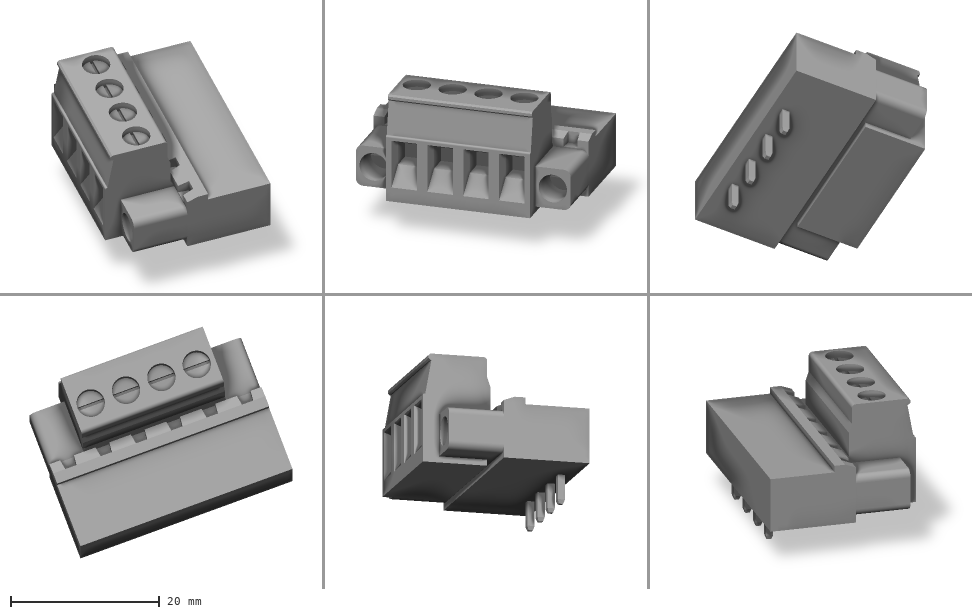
import cadquery as cq


length = 30.48
positions = 6
poles = 4
pitch = length / positions
pole_centers = [(i - (poles - 1) / 2) * pitch for i in range(poles)]
position_centers = [(i - (positions - 1) / 2) * pitch for i in range(positions)]
flange_centers = [position_centers[0], position_centers[-1]]

header_depth = 11.98
header_height = 7.6
ridge_depth = 3.0
ridge_height = 8.53
ridge_slope_depth = 1.5
ridge_front_height = 8.0
notch_front_width = 1.98
notch_back_width = 1.62
notch_floor = 6.85

pin_size = 1.0
pin_tip_size = 0.6
pin_length = 4.0
pin_tip_length = 0.58
pin_y = 10.0

plug_width = 20.42
plug_front = -9.95
plug_height = 15.05
plug_foot_gap = 0.95
plug_back_top = 6.8
plug_neck_y = -0.52
plug_neck_bottom = 7.55
plug_neck_top = 11.03
plug_upper_y = -0.95
plug_upper_bottom = 12.28
back_edge_radius = 0.52
lip_front = -9.15
lip_bottom = 14.17
lip_edge = 0.25
lip_root_y = -8.75
ledge_y = -9.6
ledge_height = 9.45
ledge_radius = 0.25

clamp_diameter = 3.8
clamp_y = -4.48
clamp_depth = 1.0
slot_width = 0.45
slot_depth = 0.5

entry_width = 3.6
entry_bottom = 2.05
entry_top = 8.8
entry_taper_depth = 1.95
throat_width = 3.0
throat_bottom = 4.72
throat_top = 7.92
throat_depth = 2.93

flange_span = 30.45
flange_bottom = 0.85
flange_top = 6.68
flange_depth = 7.68
flange_radius = 1.0
flange_screw_z = (flange_bottom + flange_top) / 2
flange_bore_diameter = 4.0
flange_head_diameter = 3.9
flange_head_length = 3.05


def extrude_along_x(profile, width):
    """Extrude a (y, z) profile symmetrically about X = 0."""
    return cq.Workplane("YZ").polyline(profile).close().extrude(width / 2, both=True)


def front_plane(y):
    """Plane facing -Y, with local axes along +X and +Z."""
    return cq.Workplane("XZ", origin=(0, y, 0))


def make_header():
    """Block with a raised front ridge and one tapered notch per position."""
    body = extrude_along_x(
        [
            (0, 0),
            (header_depth, 0),
            (header_depth, header_height),
            (ridge_depth, header_height),
            (ridge_depth, ridge_height),
            (ridge_slope_depth, ridge_height),
            (0, ridge_front_height),
        ],
        length,
    )
    for x in position_centers:
        notch = (
            cq.Workplane("XY", origin=(x, 0, notch_floor))
            .polyline(
                [
                    (-notch_front_width / 2, 0),
                    (notch_front_width / 2, 0),
                    (notch_back_width / 2, ridge_slope_depth),
                    (-notch_back_width / 2, ridge_slope_depth),
                ]
            )
            .close()
            .extrude(ridge_height - notch_floor)
        )
        body = body.cut(notch)
    return body


def make_pin(x):
    """Square pin with a tapered tip, hanging below the header."""
    shank_length = pin_length - pin_tip_length
    shank = cq.Workplane("XY", origin=(x, pin_y, 0)).rect(pin_size, pin_size).extrude(-shank_length)
    tip = (
        cq.Workplane("XY", origin=(x, pin_y, -shank_length))
        .rect(pin_size, pin_size)
        .workplane(offset=-pin_tip_length)
        .rect(pin_tip_size, pin_tip_size)
        .loft(ruled=True)
    )
    return shank.union(tip)


def make_plug_body():
    """Stepped plug with rounded back and ledge edges, flush against the mating face."""
    body = extrude_along_x(
        [
            (plug_front, 0),
            (-plug_foot_gap, 0),
            (-plug_foot_gap, flange_bottom),
            (0, flange_bottom),
            (0, plug_back_top),
            (plug_neck_y, plug_neck_bottom),
            (plug_neck_y, plug_neck_top),
            (plug_upper_y, plug_upper_bottom),
            (plug_upper_y, plug_height),
            (lip_front + lip_edge, plug_height),
            (lip_front, plug_height - lip_edge),
            (lip_front, lip_bottom + lip_edge),
            (lip_front + lip_edge, lip_bottom),
            (lip_root_y, lip_bottom),
            (ledge_y, ledge_height),
            (plug_front, ledge_height),
        ],
        plug_width,
    )
    back_edge = cq.NearestToPointSelector((0, plug_upper_y, plug_height))
    ledge_edge = cq.NearestToPointSelector((0, plug_front, ledge_height))
    return body.edges(back_edge).fillet(back_edge_radius).edges(ledge_edge).fillet(ledge_radius)


def make_clamp_recess(x):
    """Round recess whose floor is the slotted head of a clamping screw."""
    head_face = cq.Workplane("XY", origin=(x, clamp_y, plug_height - clamp_depth))
    recess = head_face.circle(clamp_diameter / 2).extrude(clamp_depth)
    slot_bar = head_face.rect(clamp_diameter, slot_width).extrude(-slot_depth)
    slot = head_face.circle(clamp_diameter / 2).extrude(-slot_depth).intersect(slot_bar)
    return recess.union(slot)


def make_wire_entry(x):
    """Funnel narrowing into a straight throat."""
    entry_height = entry_top - entry_bottom
    throat_height = throat_top - throat_bottom
    entry_z = (entry_top + entry_bottom) / 2
    throat_z = (throat_top + throat_bottom) / 2
    funnel = (
        front_plane(plug_front)
        .center(x, entry_z)
        .rect(entry_width, entry_height)
        .workplane(offset=-entry_taper_depth)
        .center(0, throat_z - entry_z)
        .rect(throat_width, throat_height)
        .loft(ruled=True)
    )
    throat = (
        front_plane(plug_front + entry_taper_depth)
        .center(x, throat_z)
        .rect(throat_width, throat_height)
        .extrude(-throat_depth)
    )
    return funnel.union(throat)


def make_flanges():
    """Bar with rounded outer edges; its middle lies inside the plug."""
    return (
        cq.Workplane("XY")
        .box(flange_span, flange_depth, flange_top - flange_bottom)
        .edges("|Y")
        .fillet(flange_radius)
        .translate((0, -flange_depth / 2, flange_screw_z))
    )


def make_flange_bore(x):
    """Bore reaching the mating face."""
    return front_plane(0).center(x, flange_screw_z).circle(flange_bore_diameter / 2).extrude(flange_depth)


def make_flange_screw(x):
    """Slotted screw head standing at the bottom of a flange bore."""
    head_radius = flange_head_diameter / 2
    head = front_plane(0).center(x, flange_screw_z).circle(head_radius).extrude(flange_head_length)
    slot = (
        front_plane(-flange_head_length)
        .center(x, flange_screw_z)
        .rect(flange_head_diameter, slot_width)
        .extrude(-slot_depth)
    )
    return head.cut(slot)


plug = make_plug_body().union(make_flanges())
for x in pole_centers:
    plug = plug.cut(make_clamp_recess(x)).cut(make_wire_entry(x))
for x in flange_centers:
    plug = plug.cut(make_flange_bore(x))

result = make_header().union(plug)
for x in pole_centers:
    result = result.union(make_pin(x))
for x in flange_centers:
    result = result.union(make_flange_screw(x))